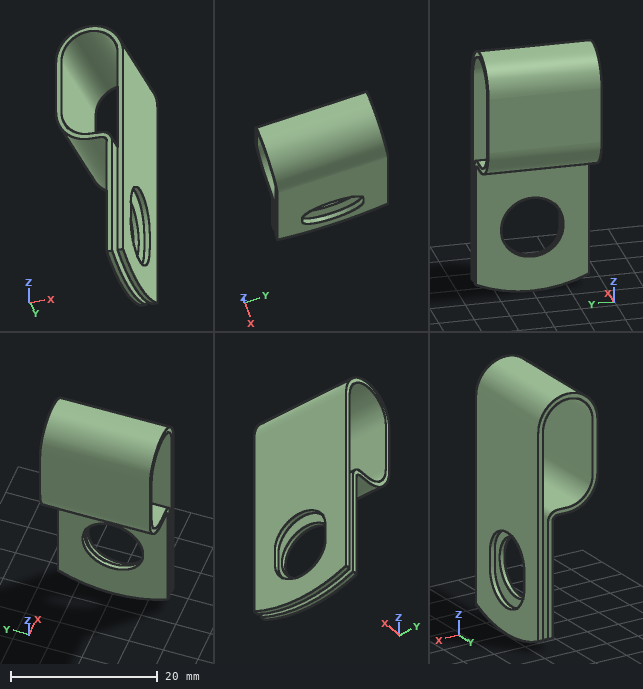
import cadquery as cq
import math

height = 37.22
strap_width = 15.9
strap_thickness = 0.8
loop_width = 9.55
loop_straight = 7.95
leg_gap = 0.8
bend_radius = 0.8
hole_diameter = 8.75
hole_height = 9.5
slot_straight = 2.4
end_sag = 1.7

outer_radius = loop_width / 2
inner_radius = outer_radius - strap_thickness
upper_centre_z = height - outer_radius
lower_centre_z = upper_centre_z - loop_straight
floor_inner_z = lower_centre_z - inner_radius
floor_outer_z = lower_centre_z - outer_radius
long_leg_inner_x = inner_radius
short_leg_inner_x = long_leg_inner_x - leg_gap
short_leg_outer_x = short_leg_inner_x - strap_thickness
bend_outer_radius = bend_radius + strap_thickness
bend_centre_x = short_leg_outer_x - bend_radius
bend_centre_z = floor_outer_z - bend_radius
diagonal = math.sqrt(0.5)


def make_strap():
    """Bent strip with square ends, centred on Y = 0."""
    bend_mid_outer = (
        bend_centre_x + bend_outer_radius * diagonal,
        bend_centre_z + bend_outer_radius * diagonal,
    )
    bend_mid_inner = (
        bend_centre_x + bend_radius * diagonal,
        bend_centre_z + bend_radius * diagonal,
    )
    profile = (
        cq.Workplane("XZ")
        .moveTo(outer_radius, 0)
        .lineTo(outer_radius, upper_centre_z)
        .threePointArc((0, height), (-outer_radius, upper_centre_z))
        .lineTo(-outer_radius, lower_centre_z)
        .threePointArc(
            (-outer_radius * diagonal, lower_centre_z - outer_radius * diagonal),
            (0, floor_outer_z),
        )
        .lineTo(bend_centre_x, floor_outer_z)
        .threePointArc(bend_mid_inner, (short_leg_outer_x, bend_centre_z))
        .lineTo(short_leg_outer_x, 0)
        .lineTo(short_leg_inner_x, 0)
        .lineTo(short_leg_inner_x, bend_centre_z)
        .threePointArc(bend_mid_outer, (bend_centre_x, floor_inner_z))
        .lineTo(0, floor_inner_z)
        .threePointArc(
            (-inner_radius * diagonal, lower_centre_z - inner_radius * diagonal),
            (-inner_radius, lower_centre_z),
        )
        .lineTo(-inner_radius, upper_centre_z)
        .threePointArc((0, upper_centre_z + inner_radius), (inner_radius, upper_centre_z))
        .lineTo(long_leg_inner_x, 0)
        .close()
    )
    return profile.extrude(strap_width / 2, both=True)


def make_side_outline():
    """Block that rounds the lower end of both legs."""
    half_width = strap_width / 2
    return (
        cq.Workplane("YZ")
        .moveTo(-half_width, end_sag)
        .threePointArc((0, 0), (half_width, end_sag))
        .lineTo(half_width, height)
        .lineTo(-half_width, height)
        .close()
        .extrude(loop_width, both=True)
    )


def make_round_hole():
    """Cylinder along X through the short leg."""
    return (
        cq.Workplane("YZ", origin=(long_leg_inner_x - leg_gap / 2, 0, hole_height))
        .circle(hole_diameter / 2)
        .extrude(-loop_width)
    )


def make_slot():
    """Upright slot along X through the long leg, as wide as the round hole."""
    return (
        cq.Workplane("YZ", origin=(long_leg_inner_x - leg_gap / 2, 0, hole_height))
        .slot2D(hole_diameter + slot_straight, hole_diameter, 90)
        .extrude(loop_width)
    )


result = (
    make_strap()
    .intersect(make_side_outline())
    .cut(make_round_hole())
    .cut(make_slot())
)